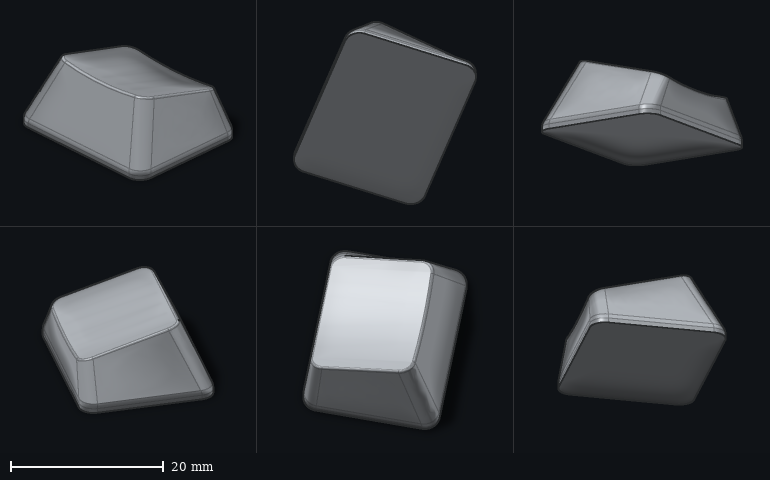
import cadquery as cq
import math

length = 22.92
width = 18.15
base_radius = 2.02

skirt_height = 0.69
band_height = 0.65

side_lean = 22.0
front_lean = 24.5
back_lean = 5.0

crown_length = 16.36
crown_radius = 1.83
crown_above_dish = 0.73

dish_radius = 50.42
dish_slope = 15.6
dish_front_height = 9.28
dish_overrun = 22.92
top_edge_radius = 0.35

lean_start = skirt_height + band_height / 2


def wall_inset(rise, lean):
    """Horizontal distance a wall moves inwards over the given rise."""
    return rise * math.tan(math.radians(lean))


dish_front_y = wall_inset(dish_front_height - lean_start, front_lean) - width / 2


def outline(z, rise, radius):
    """Rounded rectangle at height z, inset as the leaning walls are after the given rise."""
    side = wall_inset(rise, side_lean)
    front = wall_inset(rise, front_lean)
    back = wall_inset(rise, back_lean)
    center = cq.Vector(0, (front - back) / 2, z)
    sketch = cq.Sketch().rect(length - 2 * side, width - front - back).vertices().fillet(radius)
    return sketch.moved(cq.Location(center))


def sloping_crown():
    """Rounded rectangle parallel to the dish, reaching from the front wall to the back wall."""
    slope = math.tan(math.radians(dish_slope))
    middle_height = dish_front_height + dish_front_y * slope + crown_above_dish
    rise = middle_height - lean_start
    front_y = (wall_inset(rise, front_lean) - width / 2) / (1 + wall_inset(slope, front_lean))
    back_y = (width / 2 - wall_inset(rise, back_lean)) / (1 - wall_inset(slope, back_lean))
    center_y = (front_y + back_y) / 2
    center = cq.Vector(0, center_y, middle_height - center_y * slope)
    crown_width = (back_y - front_y) / math.cos(math.radians(dish_slope))
    sketch = cq.Sketch().rect(crown_length, crown_width).vertices().fillet(crown_radius)
    tilt = cq.Location(center, cq.Vector(1, 0, 0), -dish_slope)
    return sketch.moved(tilt)


def make_blank():
    """Straight skirt, curved band and leaning walls, with a flat sloping crown."""
    base = outline(0, 0, base_radius)
    band_start = outline(skirt_height, 0, base_radius)
    band_middle = outline(lean_start, band_height / 8, base_radius)
    band_end = outline(skirt_height + band_height, band_height / 2, base_radius)

    skirt = cq.Workplane("XY").placeSketch(base).extrude(skirt_height)
    band = cq.Workplane("XY").placeSketch(band_start, band_middle, band_end).loft()
    walls = cq.Workplane("XY").placeSketch(band_end, sloping_crown()).loft(ruled=True)
    return skirt.union(band).union(walls)


def make_dish():
    """Cylinder whose lowest line runs down the middle of the sloping top face."""
    slope = math.radians(dish_slope)
    along = cq.Vector(0, math.cos(slope), -math.sin(slope))
    upward = cq.Vector(0, math.sin(slope), math.cos(slope))
    low_point = cq.Vector(0, dish_front_y, dish_front_height)
    start = low_point + upward * dish_radius - along * dish_overrun
    return cq.Workplane(cq.Solid.makeCylinder(dish_radius, 2 * dish_overrun, start, along))


keycap = make_blank().cut(make_dish())
result = keycap.faces("%CYLINDER").faces(">Z").edges().fillet(top_edge_radius)